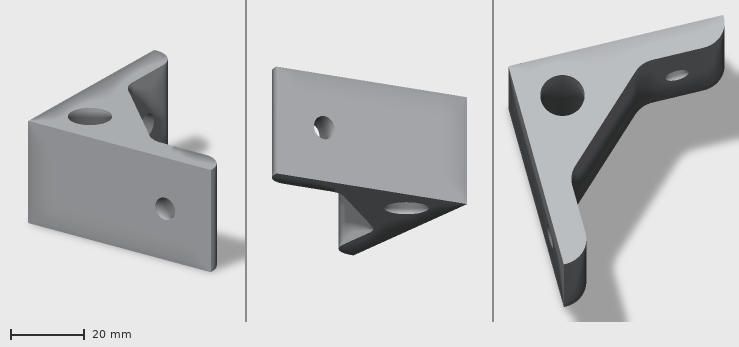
import cadquery as cq

leg_length = 60.0
height = 30.0
leg_thickness = 8.0

web_reach = 35.05
web_fillet = 7.5
tip_radius = 7.5

post_hole_diameter = 12.0
post_hole_offset = 12.0
screw_hole_diameter = 6.5
screw_hole_offset = 45.0


def bracket_body():
    """L-shaped bracket with a diagonal web, its outer corner at the origin."""
    outline = [
        (0, 0),
        (leg_length, 0),
        (leg_length, leg_thickness),
        (web_reach, leg_thickness),
        (leg_thickness, web_reach),
        (leg_thickness, leg_length),
        (0, leg_length),
    ]
    return cq.Workplane("XY").polyline(outline).close().extrude(height)


def round_vertical_edge(body, x, y, radius):
    """Round the vertical edge that passes through (x, y)."""
    edge = cq.selectors.NearestToPointSelector((x, y, height / 2))
    return body.edges("|Z").edges(edge).fillet(radius)


def through_hole(plane, center, diameter, depth):
    return cq.Workplane(plane).center(*center).circle(diameter / 2).extrude(depth)


result = bracket_body()

for along_leg, radius in [(leg_length, tip_radius), (web_reach, web_fillet)]:
    result = round_vertical_edge(result, along_leg, leg_thickness, radius)
    result = round_vertical_edge(result, leg_thickness, along_leg, radius)

screw_hole_center = (screw_hole_offset, height / 2)
result = result.cut(
    through_hole("XY", (post_hole_offset, post_hole_offset), post_hole_diameter, height)
)
result = result.cut(
    through_hole("XZ", screw_hole_center, screw_hole_diameter, -leg_thickness)
)
result = result.cut(
    through_hole("YZ", screw_hole_center, screw_hole_diameter, leg_thickness)
)